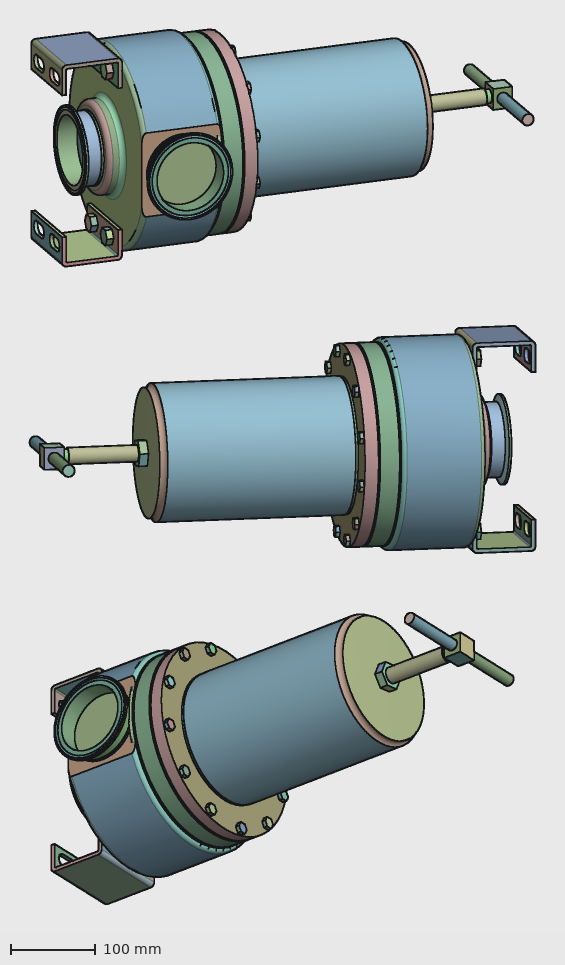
import cadquery as cq
import math


overall_width = 266.06
overall_length = 585.98
overall_height = 252.86

body_radius = overall_height / 2
body_length = 101.0
body_edge_radius = 5.5
flat_x = 115.0

flange_radius = 121.0
seam_width = 2.0
seam_depth = 1.0
front_flange_end = 126.5
rear_flange_end = 145.0

flange_bolt_count = 12
flange_bolt_circle_radius = 112.5
flange_bolt_across_corners = 15.0
flange_bolt_head_height = 5.0

housing_radius = 82.6
housing_end = 385.0
cap_crown_radius = 78.0
cap_crown_rise = 0.8
cap_height = 9.5
cap_corner_bulge = 2.4
housing_weld_length = 3.0
housing_weld_step = 0.5

bracket_width = 101.0
bracket_depth = 76.0
bracket_height = 37.5
bracket_thickness = 5.0
bracket_outer_bend_radius = 5.5
bracket_inner_bend_radius = 2.0
bracket_hole_spacing = 51.0
bracket_hole_inset = 22.3
slot_length = 32.5
slot_width = 16.5
bracket_bolt_across_corners = 22.0
bracket_bolt_head_height = 8.6

handle_end = overall_length - bracket_depth
block_length = 24.0
block_width = 26.5
handle_bar_diameter = 14.5
handle_bar_length = 191.0
neck_diameter = 17.0
neck_length = 6.5
screw_diameter = 20.2
nut_across_corners = 35.0
nut_thickness = 10.5
nut_turn = 7.0

ferrule_radius = 45.0
ferrule_bore_radius = 42.3
ferrule_weld_length = 3.0
ferrule_weld_step = 0.8
ferrule_rim_radius = 53.8
ferrule_rim_thickness = 3.0
ferrule_rim_taper = 3.0
face_groove_radius = 50.0
face_groove_half_width = 1.6

hub_radius = 57.6
hub_flare = 6.5
hub_length = 21.0
hub_edge_radius = 6.5
front_port_length = 46.5

side_port_y = 52.0
side_port_end = overall_width - body_radius


def rod_y(radius, y_start, y_end):
    """Round bar on the main axis."""
    return cq.Workplane("XZ", origin=(0, y_start, 0)).circle(radius).extrude(y_start - y_end)


def hexagon_y(across_corners, y_start, y_end, x=0, z=0, turn=0):
    """Hexagonal prism parallel to the main axis, turned about its own centre."""
    prism = cq.Workplane("XZ").polygon(6, across_corners).extrude(y_start - y_end)
    return prism.rotate((0, 0, 0), (0, 1, 0), turn).translate((x, y_start, z))


def make_body():
    body = rod_y(body_radius, 0, body_length).edges().fillet(body_edge_radius)
    beyond_flat = cq.Workplane("XY").box(
        body_radius, body_length, 2 * body_radius, centered=(False, False, True)
    )
    return body.cut(beyond_flat.translate((flat_x, 0, 0)))


def make_flanges():
    flanges = rod_y(flange_radius, body_length - body_edge_radius, rear_flange_end)
    for seam_y in (body_length, front_flange_end):
        core = rod_y(flange_radius - seam_depth, seam_y, seam_y + seam_width)
        flanges = flanges.cut(rod_y(body_radius, seam_y, seam_y + seam_width).cut(core))
    for index in range(flange_bolt_count):
        angle = 360 * (index + 0.5) / flange_bolt_count
        head = hexagon_y(
            flange_bolt_across_corners,
            rear_flange_end,
            rear_flange_end + flange_bolt_head_height,
            x=flange_bolt_circle_radius * math.cos(math.radians(angle)),
            z=flange_bolt_circle_radius * math.sin(math.radians(angle)),
        )
        flanges = flanges.union(head)
    return flanges


def make_housing():
    barrel_start = rear_flange_end + housing_weld_length
    weld = rod_y(housing_radius - housing_weld_step, rear_flange_end, barrel_start)
    cap_start = housing_end - cap_height
    crown_edge_y = housing_end - cap_crown_rise
    crown_sphere_radius = (cap_crown_radius**2 + cap_crown_rise**2) / (2 * cap_crown_rise)
    barrel = (
        cq.Workplane("XY")
        .moveTo(0, barrel_start)
        .lineTo(housing_radius, barrel_start)
        .lineTo(housing_radius, cap_start)
        .sagittaArc((cap_crown_radius, crown_edge_y), cap_corner_bulge)
        .radiusArc((0, housing_end), -crown_sphere_radius)
        .close()
        .revolve(360, (0, 0), (0, 1))
    )
    return barrel.union(weld)


def make_handle():
    nut_start = housing_end - cap_crown_rise
    block_start = handle_end - block_length
    neck_start = block_start - neck_length
    block = cq.Workplane("XY").box(block_width, block_length, block_width)
    block = block.translate((0, handle_end - block_length / 2, 0))
    bar = cq.Workplane("YZ").circle(handle_bar_diameter / 2).extrude(handle_bar_length / 2, both=True)
    bar = bar.translate((0, handle_end - block_length / 2, 0))
    neck = rod_y(neck_diameter / 2, neck_start, block_start)
    screw = rod_y(screw_diameter / 2, nut_start, neck_start)
    nut = hexagon_y(nut_across_corners, nut_start, housing_end + nut_thickness, turn=nut_turn)
    return block.union(bar).union(neck).union(screw).union(nut)


def make_bracket():
    """Upper bracket: a U channel open towards the axis, with slots in its front leg."""
    top = overall_height / 2
    outer = cq.Workplane("XY").box(
        bracket_width, bracket_depth, bracket_height, centered=(True, False, False)
    )
    outer = outer.edges(">Z and |X").fillet(bracket_outer_bend_radius)
    inner = cq.Workplane("XY").box(
        bracket_width,
        bracket_depth - 2 * bracket_thickness,
        bracket_height - bracket_thickness,
        centered=(True, False, False),
    )
    inner = inner.edges(">Z and |X").fillet(bracket_inner_bend_radius)
    inner = inner.translate((0, bracket_thickness, 0))
    bracket = outer.cut(inner).translate((0, -bracket_depth, top - bracket_height))
    hole_z = top - bracket_hole_inset
    bolt_seat = -bracket_thickness
    for x in (-bracket_hole_spacing / 2, bracket_hole_spacing / 2):
        slot = cq.Workplane("XZ").slot2D(slot_length, slot_width).extrude(-bracket_thickness)
        bracket = bracket.cut(slot.translate((x, -bracket_depth, hole_z)))
        head = hexagon_y(
            bracket_bolt_across_corners, bolt_seat - bracket_bolt_head_height, bolt_seat, x=x, z=hole_z
        )
        bracket = bracket.union(head)
    return bracket


def make_ferrule(length):
    """Open pipe along +Z from Z = 0: weld bead at its foot, clamp rim and gasket groove at its end."""
    weld_radius = ferrule_radius + ferrule_weld_step
    rim_start = length - ferrule_rim_thickness
    outline = [
        (ferrule_bore_radius, 0),
        (weld_radius, 0),
        (weld_radius, ferrule_weld_length),
        (ferrule_radius, ferrule_weld_length),
        (ferrule_radius, rim_start - ferrule_rim_taper),
        (ferrule_rim_radius, rim_start),
        (ferrule_rim_radius, length),
        (ferrule_bore_radius, length),
    ]
    pipe = cq.Workplane("XZ").polyline(outline).close().revolve(360, (0, 0), (0, 1))
    groove = cq.Solid.makeTorus(face_groove_radius, face_groove_half_width, cq.Vector(0, 0, length))
    return pipe.cut(cq.Workplane(groove))


def make_front_port():
    hub = (
        cq.Workplane("XY")
        .lineTo(hub_radius + hub_flare, 0)
        .radiusArc((hub_radius, -hub_flare), -hub_flare)
        .lineTo(hub_radius, hub_edge_radius - hub_length)
        .radiusArc((hub_radius - hub_edge_radius, -hub_length), hub_edge_radius)
        .lineTo(0, -hub_length)
        .close()
        .revolve(360, (0, 0), (0, 1))
    )
    pipe = make_ferrule(front_port_length - hub_length).rotate((0, 0, 0), (1, 0, 0), 90)
    return hub.union(pipe.translate((0, -hub_length, 0)))


def make_side_port():
    pipe = make_ferrule(side_port_end - flat_x).rotate((0, 0, 0), (0, 1, 0), 90)
    return pipe.translate((flat_x, side_port_y, 0))


upper_bracket = make_bracket()

result = (
    make_body()
    .union(make_flanges())
    .union(make_housing())
    .union(make_handle())
    .union(upper_bracket)
    .union(upper_bracket.mirror("XY"))
    .union(make_front_port())
    .union(make_side_port())
)